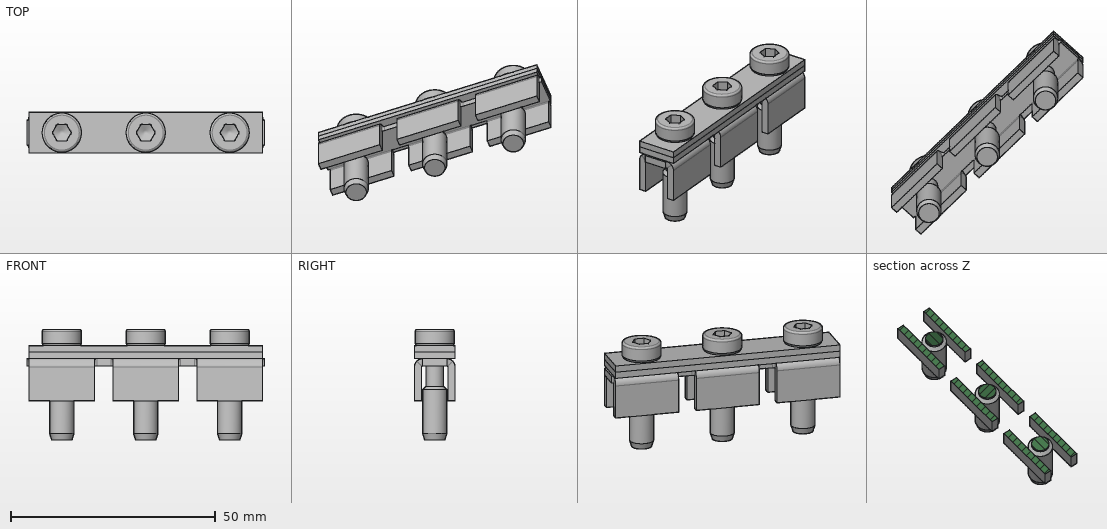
import cadquery as cq
import math

bridge_length = 58.0
bridge_width = 10.0
screw_pitch = 20.5
screw_positions = [-screw_pitch, 0.0, screw_pitch]

sheet_thickness = 1.8
bend_outer_radius = 2.0
bend_inner_radius = bend_outer_radius - sheet_thickness
bend_axis_y = bridge_width / 2 - bend_outer_radius
corner_radius = 0.5
corner_bend_angle = math.radians(45)
flap_depth = 10.25
bar_length = bridge_length - 2 * corner_radius
flap_length = bar_length - 2 * screw_pitch

bar_count = 2
bar_stack_height = 3.2
bar_thickness = bar_stack_height / bar_count

head_diameter = 9.55
head_height = 4.0
head_top_fillet = 0.5
head_bottom_chamfer_height = 0.5
head_bottom_chamfer_width = 0.25
hex_across_flats = 4.0
hex_depth = 3.0
hex_across_corners = hex_across_flats / math.cos(math.pi / 6)
hex_cone_slope = math.radians(30)
neck_diameter = 4.35
shank_diameter = 6.0
neck_end_depth = 6.7
shoulder_height = (shank_diameter - neck_diameter) / 2
tip_diameter = 5.0
tip_height = 1.55
screw_tip_depth = 19.85


def drill_screw_holes(plate):
    """Cut a hole that fits the screw neck at every screw position."""
    for x in screw_positions:
        hole = (
            cq.Workplane("XY")
            .center(x, 0)
            .circle(neck_diameter / 2)
            .extrude(bar_stack_height + sheet_thickness, both=True)
        )
        plate = plate.cut(hole)
    return plate


def make_flap_pair():
    """U-shaped cross-section with rounded bends, centred on X = 0."""
    inner_half_width = bridge_width / 2 - sheet_thickness
    outer = (
        cq.Workplane("XY")
        .box(flap_length, bridge_width, flap_depth, centered=(True, True, False))
        .translate((0, 0, -flap_depth))
        .edges("|X and >Z")
        .fillet(bend_outer_radius)
    )
    channel = (
        cq.Workplane("XY")
        .box(flap_length, 2 * inner_half_width, flap_depth, centered=(True, True, False))
        .translate((0, 0, -flap_depth - sheet_thickness))
        .edges("|X and >Z")
        .fillet(bend_inner_radius)
    )
    return outer.cut(channel)


def bend_axis_cylinder(radius):
    """Cylinder around the +Y bend axis, beside the +X end of the flap."""
    return (
        cq.Workplane("YZ", origin=(flap_length / 2, bend_axis_y, -bend_outer_radius))
        .circle(radius)
        .extrude(corner_radius)
    )


def make_inside_corner():
    """Concave corner between web edge and flap end, wrapped around the first half of the +Y bend."""
    wedge_plane = cq.Plane(
        origin=(flap_length / 2 + corner_radius, bend_axis_y, -bend_outer_radius),
        xDir=(1, 0, 0),
        normal=(0, math.sin(corner_bend_angle), math.cos(corner_bend_angle)),
    )
    wedge = cq.Workplane(wedge_plane)
    near_distance = bend_inner_radius / 2
    far_distance = 2 * bend_outer_radius
    previous_distance = 0
    for distance in [near_distance, far_distance]:
        web_edge_offset = distance * math.tan(corner_bend_angle)
        wedge = (
            wedge.workplane(offset=distance - previous_distance)
            .moveTo(-corner_radius, 0)
            .ellipseArc(corner_radius, web_edge_offset, 180, 270, startAtCurrent=True)
            .lineTo(-corner_radius, -web_edge_offset)
            .close()
        )
        previous_distance = distance
    wedge = wedge.loft(ruled=True)
    return wedge.intersect(bend_axis_cylinder(bend_outer_radius)).cut(bend_axis_cylinder(bend_inner_radius))


def make_clip_strip():
    """Continuous web with three flap pairs and filleted inside corners."""
    strip = (
        cq.Workplane("XY")
        .box(bridge_length, 2 * bend_axis_y, sheet_thickness, centered=(True, True, False))
        .translate((0, 0, -sheet_thickness))
    )
    corner = make_inside_corner()
    corner_pair = [corner, corner.mirror("XZ")]
    corners = corner_pair + [piece.mirror("YZ") for piece in corner_pair]
    flap_pair = make_flap_pair()
    for x in screw_positions:
        for piece in [flap_pair] + corners:
            strip = strip.union(piece.translate((x, 0, 0)))
    return drill_screw_holes(strip)


def make_bar(bottom):
    """Flat bar resting at the given height."""
    bar = (
        cq.Workplane("XY")
        .box(bar_length, bridge_width, bar_thickness, centered=(True, True, False))
        .translate((0, 0, bottom))
    )
    return drill_screw_holes(bar)


def make_screw(x):
    """Socket head screw with a thin neck above a thicker shank."""
    head_bottom = bar_stack_height
    head_top = head_bottom + head_height
    head_radius = head_diameter / 2
    neck_radius = neck_diameter / 2
    shank_radius = shank_diameter / 2
    screw = (
        cq.Workplane("XZ")
        .moveTo(0, head_top)
        .lineTo(head_radius, head_top)
        .lineTo(head_radius, head_bottom + head_bottom_chamfer_height)
        .lineTo(head_radius - head_bottom_chamfer_width, head_bottom)
        .lineTo(neck_radius, head_bottom)
        .lineTo(neck_radius, -neck_end_depth)
        .lineTo(shank_radius, -neck_end_depth - shoulder_height)
        .lineTo(shank_radius, tip_height - screw_tip_depth)
        .lineTo(tip_diameter / 2, -screw_tip_depth)
        .lineTo(0, -screw_tip_depth)
        .close()
        .revolve(360, (0, 0), (0, 1))
        .faces(">Z")
        .edges()
        .fillet(head_top_fillet)
    )

    cone_radius = hex_across_corners / 2
    cone_depth = cone_radius * math.tan(hex_cone_slope)
    socket_floor = head_top - hex_depth
    socket = cq.Workplane("XY", origin=(0, 0, socket_floor)).polygon(6, hex_across_corners).extrude(hex_depth)
    drill_cone = cq.Workplane(
        cq.Solid.makeCone(cone_radius, 0, cone_depth, cq.Vector(0, 0, socket_floor), cq.Vector(0, 0, -1))
    )
    return screw.cut(socket).cut(drill_cone).translate((x, 0, 0))


clip_strip = make_clip_strip()
bars = [make_bar(level * bar_thickness) for level in range(bar_count)]
screws = [make_screw(x) for x in screw_positions]

result = cq.Compound.makeCompound(
    [
        clip_strip.solids().val(),
        *[bar.val() for bar in bars],
        *[screw.val() for screw in screws],
    ]
)